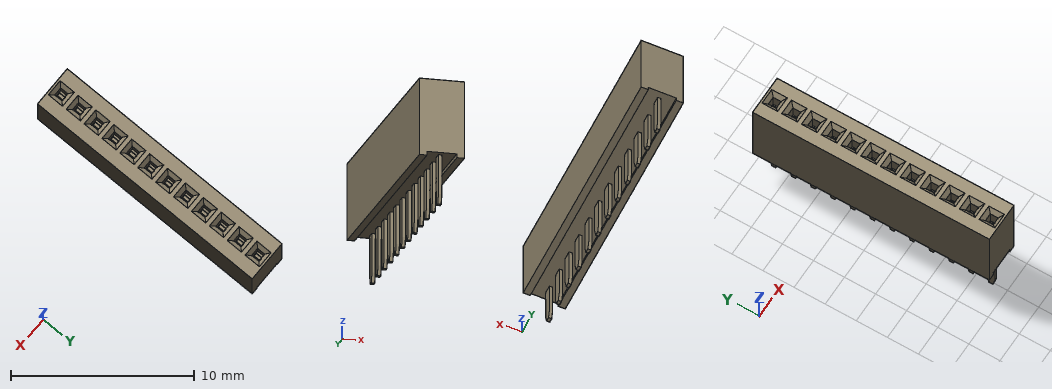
import cadquery as cq

length = 15.24
width = 2.55
housing_height = 4.4
foot_width = 0.43
foot_height = 0.21

contact_count = 12
pitch = length / contact_count

mouth_size = 1.0
hole_size = 0.5
lead_in_depth = (mouth_size - hole_size) / 2
hole_depth = 1.0

pin_thickness = 0.2
pin_width = 0.5
pin_length = 2.59
tip_length = 0.53
tip_width = 0.26
head_width = 0.43
head_height = 0.15

contact_points = [(0, (i - (contact_count - 1) / 2) * pitch) for i in range(contact_count)]


def make_housing():
    """Bar standing on Z = 0, with a full-length relief channel between its feet."""
    bar = cq.Workplane("XY").box(width, length, housing_height, centered=(True, True, False))
    channel = cq.Workplane("XY").box(
        width - 2 * foot_width, length, foot_height, centered=(True, True, False)
    )
    return bar.cut(channel)


def make_socket():
    """Solid to remove for one socket, centred on the Z axis."""
    lead_in = (
        cq.Workplane("XY", origin=(0, 0, housing_height - lead_in_depth))
        .rect(hole_size, hole_size)
        .workplane(offset=lead_in_depth)
        .rect(mouth_size, mouth_size)
        .loft(ruled=True)
    )
    hole = (
        cq.Workplane("XY", origin=(0, 0, housing_height - hole_depth))
        .rect(hole_size, hole_size)
        .extrude(hole_depth - lead_in_depth)
    )
    return lead_in.union(hole)


def make_pin():
    """Blade from its tip below the housing to its head inside the socket hole."""
    floor = housing_height - hole_depth
    top = floor + head_height
    return (
        cq.Workplane("YZ")
        .moveTo(-tip_width / 2, -pin_length)
        .lineTo(tip_width / 2, -pin_length)
        .lineTo(pin_width / 2, tip_length - pin_length)
        .lineTo(pin_width / 2, floor)
        .lineTo(head_width / 2, floor)
        .lineTo(head_width / 2, top)
        .lineTo(-head_width / 2, top)
        .lineTo(-head_width / 2, floor)
        .lineTo(-pin_width / 2, floor)
        .lineTo(-pin_width / 2, tip_length - pin_length)
        .close()
        .extrude(pin_thickness / 2, both=True)
    )


def at_contacts(solid):
    """Copies of a solid at every contact position."""
    return cq.Workplane("XY").pushPoints(contact_points).eachpoint(
        lambda place: solid.val().moved(place)
    )


result = make_housing().cut(at_contacts(make_socket())).union(at_contacts(make_pin()))